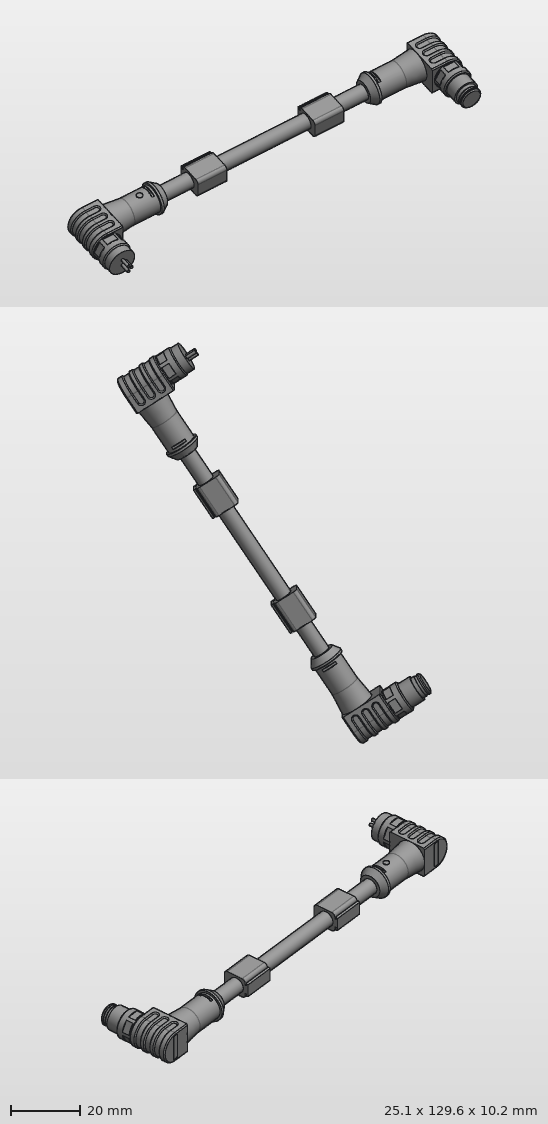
import cadquery as cq
import math

length = 129.6
cable_dia = 5.0

housing_dia = 10.2
housing_depth = 10.6
housing_length = 13.1
housing_left = -housing_dia / 2
housing_right = housing_left + housing_length
housing_chamfer = 0.4
plug_axis_y = length / 2 - housing_dia / 2

groove_width = 2.5
groove_depth = 0.4
groove_count = 3
groove_pitch = 3.5
groove_tip_y = length / 2 - 9.5
groove_middle_x = housing_left + 6.6

recess_near_y = length / 2 - 4.4
recess_width = 1.7
recess_height = 8.5
recess_depth = 0.1
recess_corner = 0.5

nut_dia = 9.6
nut_flats = 8.8
nut_flat_start = housing_left + 13.5
nut_flat_end = housing_left + 16.0
nut_end = housing_left + 18.3
nut_chamfer = 0.4

socket_dia = 8.0
socket_end = housing_left + 22.3
tip_dia = 6.9
tip_end = housing_left + 25.1
tip_chamfer = 0.4
tip_groove_dia = 6.5
tip_groove_start = housing_left + 23.5
tip_groove_end = housing_left + 24.2

shell_dia = 8.8
shell_end = housing_left + 20.7
pin_dia = 1.0
pin_end = housing_left + 23.8
pin_spacing = 1.08
outer_pin_offset = 0.1
middle_pin_offset = 1.2

sleeve_dia = 8.8
sleeve_root_dia = 10.2
sleeve_root_y = length / 2 - housing_depth
flare_end_y = 47.5
sleeve_slot_y = 39.7
sleeve_slot_width = 0.8
sleeve_slot_floor = 3.8
collar_dia = 10.2
collar_y = (38.5, 37.7)
sleeve_tip_dia = 7.3
sleeve_tip_y = 35.5
window_dia = 2.0
window_depth = 0.3
window_y = -42.9

clip_length = 10.1
clip_y = 20.5
clip_right = 4.5
clip_left = -4.3
clip_half_height = 3.3
clip_round = 1.2
clip_wall_x = -3.2
clip_lip_x = -3.6
clip_lip_height = 2.14
clip_lip_top = 2.4
clip_notch_floor = 1.5


def x_cylinder(diameter, start, end, y=plug_axis_y, z=0.0):
    """Cylinder along X between two X positions."""
    return cq.Workplane("YZ", origin=(start, y, z)).circle(diameter / 2).extrude(end - start)


def make_groove(center_x):
    """Tapered groove tool: round-tipped arms on both flat sides, joined around the rounded back."""
    radius = housing_dia / 2
    half = groove_width / 2
    floor_half = half - groove_depth
    tip_center_y = groove_tip_y + half
    profile = [
        (-half, radius),
        (-floor_half, radius - groove_depth),
        (floor_half, radius - groove_depth),
        (half, radius),
    ]
    arm = (
        cq.Workplane("XZ", origin=(center_x, plug_axis_y, 0))
        .polyline(profile)
        .close()
        .extrude(plug_axis_y - tip_center_y)
    )
    tip_floor = cq.Vector(center_x, tip_center_y, radius - groove_depth)
    tip = cq.Solid.makeCone(floor_half, half, groove_depth, tip_floor, cq.Vector(0, 0, 1))
    arm = arm.union(cq.Workplane(tip))
    wrap = (
        cq.Workplane("XY", origin=(center_x, plug_axis_y, 0))
        .polyline(profile)
        .close()
        .revolve(360, (0, 0, 0), (1, 0, 0))
    )
    back_half = cq.Workplane("XY").box(groove_width, radius, housing_dia)
    wrap = wrap.intersect(back_half.translate((center_x, plug_axis_y + radius / 2, 0)))
    return wrap.union(arm).union(arm.mirror("XY"))


def make_housing():
    """D-shaped block along X, chamfered at both ends, with grooves and the end recess."""
    radius = housing_dia / 2
    housing = (
        cq.Workplane("YZ", origin=(housing_left, 0, 0))
        .moveTo(sleeve_root_y, -radius)
        .lineTo(plug_axis_y, -radius)
        .threePointArc((length / 2, 0), (plug_axis_y, radius))
        .lineTo(sleeve_root_y, radius)
        .close()
        .extrude(housing_length)
        .faces("<X or >X")
        .edges("not <Y")
        .chamfer(housing_chamfer)
    )
    for index in range(groove_count):
        offset = (index - (groove_count - 1) / 2) * groove_pitch
        housing = housing.cut(make_groove(groove_middle_x + offset))
    recess = (
        cq.Workplane("XY")
        .box(2 * recess_depth, recess_width, recess_height)
        .edges("|X and <Y")
        .fillet(recess_corner)
        .translate((housing_left, recess_near_y - recess_width / 2, 0))
    )
    return housing.cut(recess)


def make_nut():
    """Round nut on the plug axis with six wrench flats milled next to the housing."""
    nut = x_cylinder(nut_dia, housing_right, nut_end).faces(">X").chamfer(nut_chamfer)
    hexagon = (
        cq.Workplane("YZ", origin=(nut_flat_start, plug_axis_y, 0))
        .polygon(6, nut_flats / math.cos(math.pi / 6))
        .extrude(nut_flat_end - nut_flat_start)
    )
    milled_away = x_cylinder(nut_dia, nut_flat_start, nut_flat_end).cut(hexagon)
    return nut.cut(milled_away)


def make_sleeve():
    """Turned cable sleeve along Y, with a flat-bottomed cross slot above and below."""
    collar_start, collar_end = collar_y
    outline = [
        (0, sleeve_root_y),
        (sleeve_root_dia / 2, sleeve_root_y),
        (sleeve_dia / 2, flare_end_y),
        (sleeve_dia / 2, collar_start),
        (collar_dia / 2, collar_start),
        (collar_dia / 2, collar_end),
        (sleeve_tip_dia / 2, sleeve_tip_y),
        (0, sleeve_tip_y),
    ]
    sleeve = cq.Workplane("XY").polyline(outline).close().revolve(360, (0, 0, 0), (0, 1, 0))
    slot = (
        cq.Workplane("XY", origin=(0, sleeve_slot_y, sleeve_slot_floor))
        .rect(sleeve_dia, sleeve_slot_width)
        .extrude(sleeve_dia / 2 - sleeve_slot_floor)
    )
    return sleeve.cut(slot).cut(slot.mirror("XY"))


def make_socket_plug():
    """Stepped round plug with a ring groove near its tip."""
    barrel = x_cylinder(socket_dia, housing_right, socket_end)
    tip = x_cylinder(tip_dia, socket_end, tip_end).faces(">X").chamfer(tip_chamfer)
    ring = x_cylinder(tip_dia, tip_groove_start, tip_groove_end)
    ring = ring.cut(x_cylinder(tip_groove_dia, tip_groove_start, tip_groove_end))
    return barrel.union(tip.cut(ring))


def make_pin_plug():
    """Round shell with three contact pins standing out of its end face."""
    plug = x_cylinder(shell_dia, housing_right, shell_end, -plug_axis_y)
    pin_places = [
        (outer_pin_offset, -pin_spacing),
        (middle_pin_offset, 0.0),
        (outer_pin_offset, pin_spacing),
    ]
    for offset_y, z in pin_places:
        plug = plug.union(x_cylinder(pin_dia, nut_end, pin_end, -plug_axis_y + offset_y, z))
    return plug


def make_clip(center_y):
    """Label clip: a block rounded along its long edges, with a notched, sloping lip on its left."""
    bend = clip_round * (1 - math.sqrt(0.5))
    shoulder = clip_half_height - clip_round
    upper_half = (
        cq.Workplane("XZ", origin=(0, center_y + clip_length / 2, 0))
        .moveTo(clip_left, 0)
        .lineTo(clip_left, clip_lip_height)
        .lineTo(clip_lip_x, clip_lip_top)
        .lineTo(clip_lip_x, clip_notch_floor)
        .lineTo(clip_wall_x, clip_notch_floor)
        .lineTo(clip_wall_x, shoulder)
        .threePointArc(
            (clip_wall_x + bend, clip_half_height - bend),
            (clip_wall_x + clip_round, clip_half_height),
        )
        .lineTo(clip_right - clip_round, clip_half_height)
        .threePointArc((clip_right - bend, clip_half_height - bend), (clip_right, shoulder))
        .lineTo(clip_right, 0)
        .close()
        .extrude(clip_length)
    )
    return upper_half.union(upper_half.mirror("XY"))


angled_end = make_housing().union(make_nut()).union(make_sleeve())
cable = cq.Workplane("XZ").circle(cable_dia / 2).extrude(sleeve_tip_y, both=True)
window = (
    cq.Workplane("XY", origin=(0, window_y, sleeve_dia / 2 - window_depth))
    .circle(window_dia / 2)
    .extrude(2 * window_depth)
)

result = (
    cable.union(angled_end)
    .union(angled_end.mirror("XZ"))
    .union(make_socket_plug())
    .union(make_pin_plug())
    .union(make_clip(clip_y))
    .union(make_clip(-clip_y))
    .cut(window)
)